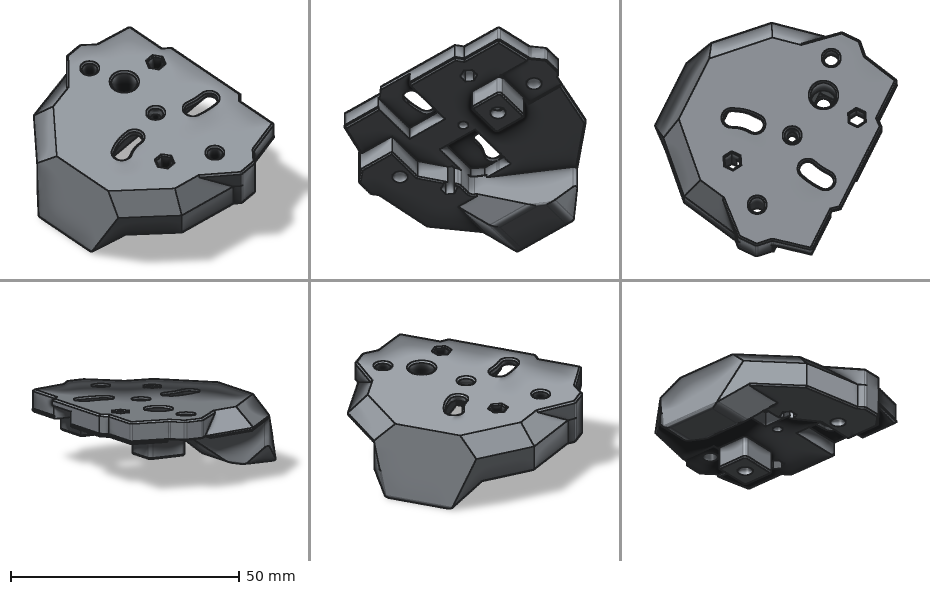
import cadquery as cq
import math

SKIN = 1.5
PANEL_DEPTH = 4.25
EAR_DEPTH = 4.45
BEVEL_TOP = 4.65
PLATE_DEPTH = 5.05
BLOCK_DEPTH = 10.3
TOTAL_DEPTH = 15.8

REAR_Y = 16.7
SHOULDER_Y = 15.15
STEP_LEFT, STEP_RIGHT = -10.4, 10.0
STEP_RUN = 1.35
EAR_X = 25.8
EAR_TOP_Y, EAR_LOW_Y = 3.9, -0.5
SHOULDER_X = 21.3
NECK = (23.2, 6.5)
EAR_ROOT = (19.15, -7.85)
UNDER_X = 24.35
UNDER_SIDE_Y = -2.9

PANEL_REAR = (25.45, 2.6)
PANEL_SIDE = (21.8, -15.7)
PANEL_FRONT = (11.95, -25.55)
FRONT_TOP_Y = -23.95
FRONT_SLOPE = (FRONT_TOP_Y - PANEL_FRONT[1]) / PANEL_DEPTH

EDGE = 0.4
EAR_LOW_EDGE = 0.2
BLOCK_EDGE = 0.35
CORNER_R = 0.8
SHOULDER_R = 0.5
TIP_EDGE = 0.6
FRONT_EDGE = 0.4

BOSS_CENTER = (-11.2, 2.15)
BOSS_SIZE = (8.05, 9.3)
BOSS_LEFT_X = BOSS_CENTER[0] - BOSS_SIZE[0] / 2
BOSS_REAR_Y = BOSS_CENTER[1] + BOSS_SIZE[1] / 2
GAP_FRONT_Y = -3.7

BLOCK_INNER_X = 8.5
BLOCK_HEEL_Y = -13.8
BLOCK_KNEE_Y = -9.9
BLOCK_WALL = (14.45, -2.4)
BLOCK_SIDE_Y = -1.8
BLOCK_INNER_R = 1.3
TOE_SHIFT = 0.55
TIP_REACH = 5.15
TONGUE_HALF = 7.2
TONGUE_BACK_Y = -20.2
TONGUE_R = 2.85
TONGUE_BACK_R = 2.05

BOLT_D = 3.4
BOLT_HOLES = [(-19.45, 0), (17.45, 0)]
BALL_D = 3.3
BALL_BORE_D = 2.2
BALL_EDGE = 0.45
BALL_CENTER_DEPTH = 0.5
SCREW_HEAD_D = 5.7
SCREW_HEAD_DEPTH = 7.2
BRIDGE = 0.2
HEX_FLATS = 3.25
HEX_EDGE = 0.3
HEX_LEFT = (-9.85, 11.0)
HEX_RIGHT = (10.95, -9.25)
SLOT_WIDTH = 3.7
REAR_SLOT = dict(pivot=HEX_LEFT, radius=15.8, start=-17.0, end=0.0)
FRONT_SLOT = dict(pivot=HEX_RIGHT, radius=9.7, start=175.0, end=207.0)

FRONT_RECESS = [(-1.3, -15.5), (5.95, -15.5), (BLOCK_INNER_X, BLOCK_HEEL_Y), (BLOCK_INNER_X, -2.6), (-1.3, -2.6)]
REAR_RECESS = [(2.05, 3.85), (11.85, 3.85), (11.85, REAR_Y), (2.05, REAR_Y)]


def mirrored(points):
    """Reflect points about the YZ plane and reverse their order."""
    return [(-x, y) for x, y in reversed(points)]


def prism(points, top, bottom):
    """Vertical prism over a plan polygon, between two depths."""
    return cq.Workplane("XY").workplane(offset=-bottom).polyline(points).close().extrude(bottom - top)


def rear_outline():
    """Rear step, from its right foot to its left foot."""
    return [
        (STEP_RIGHT + STEP_RUN, SHOULDER_Y),
        (STEP_RIGHT, REAR_Y),
        (STEP_LEFT, REAR_Y),
        (STEP_LEFT - STEP_RUN, SHOULDER_Y),
    ]


def ear_plate():
    """Upright-walled rear of the plate with an ear on each side."""
    right = [EAR_ROOT, (EAR_X, EAR_LOW_Y), (EAR_X, EAR_TOP_Y), NECK, (SHOULDER_X, SHOULDER_Y)]
    plate = prism(right + rear_outline() + mirrored(right), 0, EAR_DEPTH)
    ear_corners = cq.selectors.BoxSelector((-30.95, -2.6, -10.3), (30.95, 7.75, 2.6))
    plate = plate.edges("|Z").edges(ear_corners).fillet(CORNER_R)
    left_shoulder = cq.selectors.BoxSelector((-30.95, 14.45, -10.3), (-15.5, 16, 2.6))
    right_shoulder = cq.selectors.BoxSelector((15.5, 14.45, -10.3), (30.95, 16, 2.6))
    plate = plate.edges("|Z").edges(left_shoulder + right_shoulder).fillet(SHOULDER_R)
    return plate.faces(">Z").edges().chamfer(EDGE).faces("<Z").edges().chamfer(EAR_LOW_EDGE)


def front_limit():
    """Everything behind the tilted front plane."""
    tip_y = FRONT_TOP_Y - FRONT_SLOPE * TOTAL_DEPTH
    profile = [(REAR_Y, 0), (FRONT_TOP_Y, 0), (tip_y, -TOTAL_DEPTH), (REAR_Y, -TOTAL_DEPTH)]
    return cq.Workplane("YZ").polyline(profile).close().extrude(EAR_X * 2, both=True)


def panel_body():
    """Front of the plate: 45 degree side panels and a steeper front panel."""
    reach = PANEL_DEPTH
    right = [(PANEL_FRONT[0] - reach, PANEL_FRONT[1] - reach), PANEL_SIDE, PANEL_REAR]
    outline = right + mirrored(right)
    body = prism(outline, PANEL_DEPTH, EAR_DEPTH)
    slopes = (
        cq.Workplane("XY").workplane(offset=-PANEL_DEPTH)
        .polyline(outline).close().extrude(PANEL_DEPTH, taper=45)
    )
    return body.union(slopes).intersect(front_limit())


def panel_x(y):
    """Lower edge of the right side panel at a given Y."""
    share = (y - PANEL_SIDE[1]) / (PANEL_REAR[1] - PANEL_SIDE[1])
    return PANEL_SIDE[0] + share * (PANEL_REAR[0] - PANEL_SIDE[0])


def under_plate():
    """Bevelled underside of the plate, set in from the ears and open beside the boss."""
    right = [
        PANEL_FRONT, PANEL_SIDE, (panel_x(UNDER_SIDE_Y), UNDER_SIDE_Y), (UNDER_X, 5.35),
        NECK, (SHOULDER_X, SHOULDER_Y),
    ]
    outline = right + rear_outline() + mirrored(right)
    depth = PLATE_DEPTH - BEVEL_TOP
    slab = cq.Workplane("XY").workplane(offset=-BEVEL_TOP).polyline(outline).close().extrude(-depth, taper=45)
    slab = slab.union(prism(outline, EAR_DEPTH, BEVEL_TOP))
    gap = [(-EAR_X, GAP_FRONT_Y), (BOSS_LEFT_X, GAP_FRONT_Y), (BOSS_LEFT_X, BOSS_REAR_Y), (-EAR_X, BOSS_REAR_Y)]
    return slab.cut(prism(gap, EAR_DEPTH, PLATE_DEPTH))


def left_boss():
    """Block around the screw seat."""
    height = BLOCK_DEPTH - EAR_DEPTH
    boss = (
        cq.Workplane("XY").workplane(offset=-BLOCK_DEPTH)
        .center(*BOSS_CENTER).rect(*BOSS_SIZE).extrude(height)
    )
    return boss.edges("|Z").fillet(CORNER_R).faces("<Z").edges().chamfer(BLOCK_EDGE)


def block_plan(depth):
    """Prism of the right block's plan, from the panels' lower edge down to a depth."""
    toe = (-PANEL_FRONT[0] - TOE_SHIFT, PANEL_FRONT[1] + TOE_SHIFT)
    tip = (PANEL_FRONT[0] - TIP_REACH, PANEL_FRONT[1] - TIP_REACH)
    plan = [
        toe, (-tip[0], tip[1]), tip, PANEL_SIDE, (panel_x(BLOCK_SIDE_Y), BLOCK_SIDE_Y),
        (EAR_X, EAR_LOW_Y), (EAR_X, EAR_TOP_Y), NECK, (NECK[0], BOSS_REAR_Y),
        (BLOCK_WALL[0], BOSS_REAR_Y), BLOCK_WALL,
        (BLOCK_INNER_X, BLOCK_KNEE_Y), (BLOCK_INNER_X, BLOCK_HEEL_Y),
    ]
    block = prism(plan, PANEL_DEPTH, depth)
    corners = [
        (toe, CORNER_R),
        ((EAR_X, EAR_LOW_Y), CORNER_R),
        ((EAR_X, EAR_TOP_Y), CORNER_R),
        ((BLOCK_INNER_X, BLOCK_KNEE_Y), BLOCK_INNER_R),
        ((BLOCK_INNER_X, BLOCK_HEEL_Y), BLOCK_INNER_R),
    ]
    for (x, y), radius in corners:
        corner = cq.selectors.BoxSelector((x - 0.5, y - 0.5, -TOTAL_DEPTH), (x + 0.5, y + 0.5, 0))
        block = block.edges("|Z").edges(corner).fillet(radius)
    return block


def right_block():
    """Lower right block, beside and behind the tongue."""
    deck = block_plan(BLOCK_DEPTH).faces("<Z").edges().chamfer(BLOCK_EDGE)
    return deck.intersect(front_limit())


def tongue():
    """Front tongue with 45 degree flanks and back."""
    drop = TOTAL_DEPTH - PANEL_DEPTH
    root = TONGUE_HALF + drop
    across = [(-root, -PANEL_DEPTH), (-TONGUE_HALF, -TOTAL_DEPTH), (TONGUE_HALF, -TOTAL_DEPTH), (root, -PANEL_DEPTH)]
    flanks = cq.Workplane("XZ").polyline(across).close().extrude(EAR_X * 2, both=True)
    flanks = flanks.faces("<Z").edges("|Y").fillet(TONGUE_R)

    front_y = FRONT_TOP_Y - FRONT_SLOPE * PANEL_DEPTH
    tip_y = FRONT_TOP_Y - FRONT_SLOPE * TOTAL_DEPTH
    along = [
        (front_y, -PANEL_DEPTH), (tip_y, -TOTAL_DEPTH),
        (TONGUE_BACK_Y, -TOTAL_DEPTH), (TONGUE_BACK_Y + drop, -PANEL_DEPTH),
    ]
    back = cq.Workplane("YZ").polyline(along).close().extrude(EAR_X * 2, both=True)
    back = back.faces("<Z").edges(">Y").fillet(TONGUE_BACK_R)
    back = back.faces("<Z").edges("<Y").fillet(TIP_EDGE)
    body = block_plan(TOTAL_DEPTH).intersect(front_limit())
    front_normal = cq.Vector(0, -1, -FRONT_SLOPE)
    front_face = body.faces(cq.selectors.DirectionMinMaxSelector(front_normal))
    body = front_face.edges("not |X").fillet(FRONT_EDGE)
    return body.intersect(flanks).intersect(back)


def polar(pivot, radius, degrees):
    """Point at a radius and angle about a pivot."""
    angle = math.radians(degrees)
    return (pivot[0] + radius * math.cos(angle), pivot[1] + radius * math.sin(angle))


def arc_slot(pivot, radius, start, end):
    """Round-ended slot along an arc."""
    half = SLOT_WIDTH / 2
    middle = (start + end) / 2
    cap = math.degrees(half / radius)
    return (
        cq.Workplane("XY").workplane(offset=-PLATE_DEPTH)
        .moveTo(*polar(pivot, radius + half, start))
        .threePointArc(polar(pivot, radius + half, middle), polar(pivot, radius + half, end))
        .threePointArc(polar(pivot, radius, end + cap), polar(pivot, radius - half, end))
        .threePointArc(polar(pivot, radius - half, middle), polar(pivot, radius - half, start))
        .threePointArc(polar(pivot, radius, start - cap), polar(pivot, radius + half, start))
        .close().extrude(PLATE_DEPTH)
    )


def cut_hole(body, tool, edge):
    """Cut a hole through the top face and chamfer its mouth."""
    box = tool.val().BoundingBox()
    low = (box.xmin - edge, box.ymin - edge, -edge)
    high = (box.xmax + edge, box.ymax + edge, edge)
    mouth = cq.selectors.BoxSelector(low, high, boundingbox=True)
    return body.cut(tool).faces(">Z").edges(mouth).chamfer(edge)


def round_tool(center, diameter, top, bottom):
    """Vertical cylinder between two depths."""
    return cq.Workplane("XY").workplane(offset=-bottom).center(*center).circle(diameter / 2).extrude(bottom - top)


def hex_hole(center):
    """Through hexagon with corners pointing along Y."""
    across_corners = HEX_FLATS / math.cos(math.radians(30))
    return (
        cq.Workplane("XY").workplane(offset=-BLOCK_DEPTH)
        .center(*center).transformed(rotate=(0, 0, 30)).polygon(6, across_corners).extrude(BLOCK_DEPTH)
    )


def ball_seat():
    """Central round-bottomed seat with a through bore."""
    bore = round_tool((0, 0), BALL_BORE_D, 0, PLATE_DEPTH)
    ball = cq.Workplane("XY").workplane(offset=-BALL_CENTER_DEPTH).sphere(BALL_D / 2)
    mouth = round_tool((0, 0), BALL_D, 0, BALL_CENTER_DEPTH)
    return mouth.union(bore).union(ball.intersect(round_tool((0, 0), BALL_D, 0, PLATE_DEPTH)))


def screw_seat():
    """Screw head bore whose floor steps down to the bolt hole through a band and a square."""
    x, y = BOSS_CENTER
    head = round_tool((x, y), SCREW_HEAD_D, 0, SCREW_HEAD_DEPTH)
    band_depth = SCREW_HEAD_DEPTH + BRIDGE
    band = cq.Workplane("XY").box(SCREW_HEAD_D, BOLT_D, band_depth, centered=(True, True, False))
    band = band.translate((x, y, -band_depth)).intersect(round_tool((x, y), SCREW_HEAD_D, 0, band_depth))
    square_depth = band_depth + BRIDGE
    square = cq.Workplane("XY").box(BOLT_D, BOLT_D, square_depth, centered=(True, True, False))
    square = square.translate((x, y, -square_depth))
    bolt = round_tool((x, y), BOLT_D, 0, BLOCK_DEPTH)
    return head.union(band).union(square).union(bolt)


def slot_recesses():
    """Undersides of the two slots, hollowed up to the thin cover."""
    front = prism(FRONT_RECESS, SKIN, PLATE_DEPTH)
    rear = prism(REAR_RECESS, SKIN, PLATE_DEPTH)
    return front.union(rear)


plate = ear_plate().union(panel_body()).union(under_plate()).cut(slot_recesses())
result = plate.union(left_boss()).union(right_block()).union(tongue())
for bolt_center in BOLT_HOLES:
    result = cut_hole(result, round_tool(bolt_center, BOLT_D, 0, BLOCK_DEPTH), EDGE)
for hex_center in (HEX_LEFT, HEX_RIGHT):
    result = cut_hole(result, hex_hole(hex_center), HEX_EDGE)
for slot_place in (REAR_SLOT, FRONT_SLOT):
    result = cut_hole(result, arc_slot(**slot_place), EDGE)
result = cut_hole(result, ball_seat(), BALL_EDGE)
result = cut_hole(result, screw_seat(), EDGE)